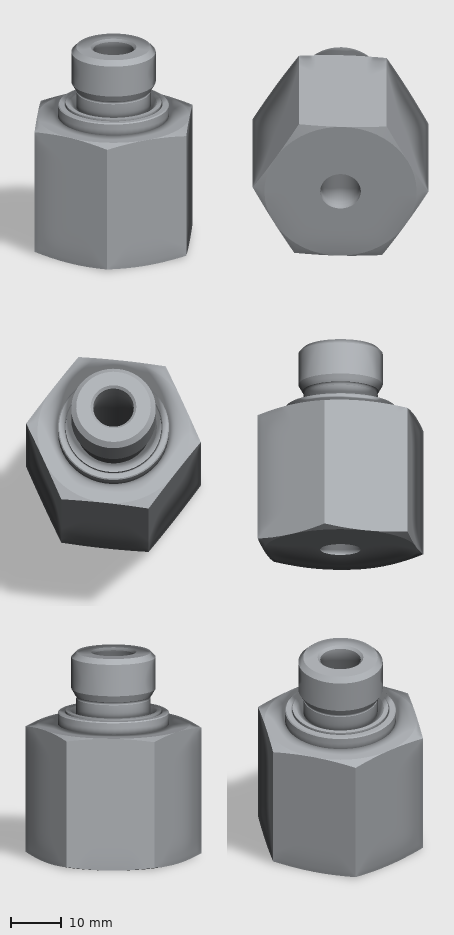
import cadquery as cq
import math

across_flats = 30.0
half_corner_angle = 30.0
across_corners = across_flats / math.cos(math.radians(half_corner_angle))
hex_height = 26.5
hex_chamfer_angle = 15.0
hex_corner_drop = (across_corners - across_flats) / 2 * math.tan(math.radians(hex_chamfer_angle))

total_height = 41.0
bore_radius = 8.0 / 2
bore_chamfer = 0.5

stud_length = 12.0
collar_top = total_height - stud_length
collar_radius = 21.9 / 2
collar_chamfer = 0.2

groove_radius = 19.0 / 2
groove_chamfer = 0.2
groove_depth = 1.5
groove_floor = collar_top - groove_depth

seal_radius = 18.9 / 2
seal_inner_radius = 17.1 / 2
seal_proud = 0.3
seal_top = collar_top + seal_proud
seal_cone_depth = 0.8

stud_radius = 16.66 / 2
neck_radius = 14.7 / 2
stud_chamfer = stud_radius - neck_radius
stud_bottom = 33.7
runout_angle = 30.0
runout_height = 1.4
runout_radius = stud_radius - runout_height * math.tan(math.radians(runout_angle))
runout_bottom = stud_bottom - runout_height

relief_radius = neck_radius - 0.15
relief_height = 0.6
relief_bottom = runout_bottom - relief_height
relief_middle = relief_bottom + relief_height / 3


def make_hexagon():
    """Hexagonal prism with flats facing +X and -X and coned corners at both ends."""
    prism = (
        cq.Workplane("XY")
        .polygon(6, across_corners)
        .extrude(hex_height)
        .rotate((0, 0, 0), (0, 0, 1), half_corner_angle)
    )
    flat_radius = across_flats / 2
    corner_radius = across_corners / 2
    corner_envelope = (
        cq.Workplane("XZ")
        .moveTo(0, 0)
        .lineTo(flat_radius, 0)
        .lineTo(corner_radius, hex_corner_drop)
        .lineTo(corner_radius, hex_height - hex_corner_drop)
        .lineTo(flat_radius, hex_height)
        .lineTo(0, hex_height)
        .close()
        .revolve()
    )
    return prism.intersect(corner_envelope)


def make_stud():
    """Turned collar, seal groove, neck and stud above the hexagon."""
    return (
        cq.Workplane("XZ")
        .moveTo(0, hex_height)
        .lineTo(collar_radius, hex_height)
        .lineTo(collar_radius, collar_top - collar_chamfer)
        .lineTo(collar_radius - collar_chamfer, collar_top)
        .lineTo(groove_radius + groove_chamfer, collar_top)
        .lineTo(groove_radius, collar_top - groove_chamfer)
        .lineTo(groove_radius, groove_floor)
        .lineTo(neck_radius, groove_floor)
        .lineTo(neck_radius, relief_bottom)
        .threePointArc((relief_radius, relief_middle), (runout_radius, runout_bottom))
        .lineTo(stud_radius, stud_bottom)
        .lineTo(stud_radius, total_height - stud_chamfer)
        .lineTo(stud_radius - stud_chamfer, total_height)
        .lineTo(0, total_height)
        .close()
        .revolve()
    )


def make_bore():
    """Through bore with a chamfer at the stud end."""
    return (
        cq.Workplane("XZ")
        .moveTo(0, 0)
        .lineTo(bore_radius, 0)
        .lineTo(bore_radius, total_height - bore_chamfer)
        .lineTo(bore_radius + bore_chamfer, total_height)
        .lineTo(0, total_height)
        .close()
        .revolve()
    )


def make_seal_ring():
    """Ring that rests on the groove floor, with a cone sloping down to the neck."""
    return (
        cq.Workplane("XZ")
        .moveTo(neck_radius, groove_floor)
        .lineTo(seal_radius, groove_floor)
        .lineTo(seal_radius, seal_top)
        .lineTo(seal_inner_radius, seal_top)
        .lineTo(neck_radius, seal_top - seal_cone_depth)
        .close()
        .revolve()
    )


fitting_body = make_hexagon().union(make_stud()).cut(make_bore())
seal_ring = make_seal_ring()

result = cq.Compound.makeCompound([fitting_body.val(), seal_ring.val()])